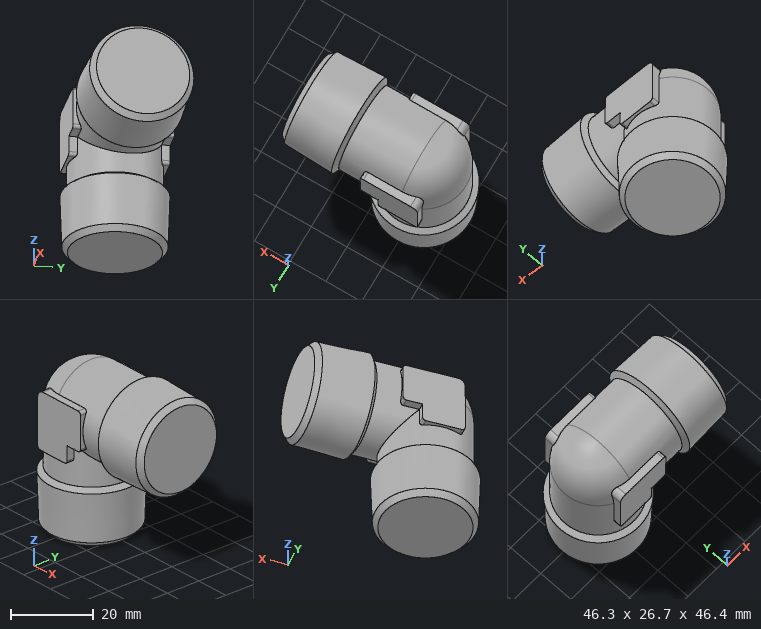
import cadquery as cq

overall = 46.35
body_diameter = 23.5
collar_diameter = 26.7
leg_length = overall - collar_diameter / 2
collar_start = 17.0
collar_peak = 18.05
chamfer_start = 31.5
chamfer_diameter = 25.75
end_diameter = 23.0

pad_span = 25.05
pad_half_width = 5.5
pad_reach = 10.5
pad_heel_radius = 1.95
pad_corner_radius = 0.9

body_radius = body_diameter / 2


def make_leg():
    """Pipe leg along +X, with a tapered collar and chamfered end."""
    profile = [
        (0, 0),
        (0, body_radius),
        (collar_start, body_radius),
        (collar_peak, collar_diameter / 2),
        (chamfer_start, chamfer_diameter / 2),
        (leg_length, end_diameter / 2),
        (leg_length, 0),
    ]
    return cq.Workplane("XY").polyline(profile).close().revolve(360, (0, 0, 0), (1, 0, 0))


def make_pads():
    """L-shaped plate through the elbow; its two faces form the side pads."""
    outline = [
        (-pad_half_width, pad_half_width),
        (pad_reach, pad_half_width),
        (pad_reach, -pad_half_width),
        (pad_half_width, -pad_half_width),
        (pad_half_width, -pad_reach),
        (-pad_half_width, -pad_reach),
    ]
    plate = cq.Workplane("XZ").polyline(outline).close().extrude(pad_span / 2, both=True)
    heel = cq.selectors.NearestToPointSelector((-pad_half_width, 0, pad_half_width))
    plate = plate.edges("|Y").edges(heel).fillet(pad_heel_radius)
    tips = [
        (pad_reach, 0, pad_half_width),
        (pad_reach, 0, -pad_half_width),
        (pad_half_width, 0, -pad_reach),
        (-pad_half_width, 0, -pad_reach),
    ]
    for tip in tips:
        corner = cq.selectors.NearestToPointSelector(tip)
        plate = plate.edges("|Y").edges(corner).fillet(pad_corner_radius)
    return plate


horizontal_leg = make_leg()
vertical_leg = horizontal_leg.rotate((0, 0, 0), (0, 1, 0), 90)
elbow_ball = cq.Workplane("XY").sphere(body_radius)

result = horizontal_leg.union(vertical_leg).union(elbow_ball).union(make_pads())